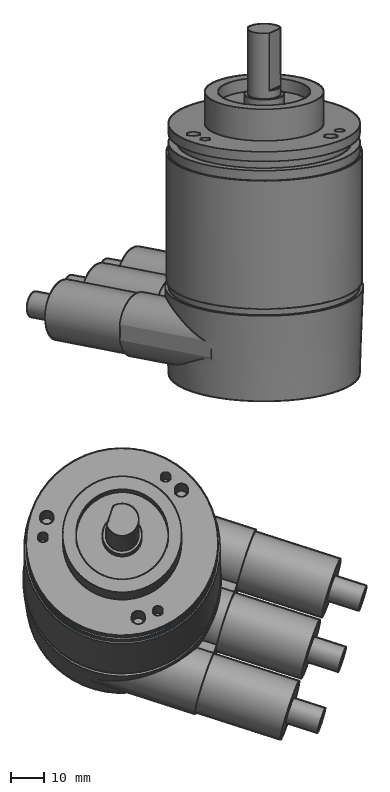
import cadquery as cq

base_top = 27.4
base_bottom_radius = 29.0
base_top_radius = 30.0
body_bottom = 29.4
body_top = 70.0
body_radius = 29.6
flange_radius = 29.0
groove_bottom = 73.0
groove_top = 76.0
groove_radius = 26.4
flange_top = 79.0
pilot_top = 89.0
pilot_radius = 18.0
recess_radius = 14.0
recess_floor = 85.0

shaft_top = 109.0
shaft_radius = 5.0
shaft_collar_radius = 6.0
shaft_collar_top = 88.3
flat_bottom = 90.8
flat_distance = 3.9

hole_circle_radius = 24.0
hole_depth = 10.0
large_hole_radius = 2.1
small_hole_radius = 1.5
large_hole_angles = (0, 120, 240)
small_hole_angles = (15, 135, 255)

outlet_pitch = 20.0
outlet_height = 15.0
outlet_radius = 9.9
outlet_end = -32.9
outlet_side_limit = 29.5
sleeve_radius = 9.4
sleeve_end = -60.0
cable_radius = 4.0
cable_end = -70.0
web_height = 9.8


def disc(radius, bottom, top):
    """Vertical cylinder on the Z axis."""
    return cq.Workplane("XY").workplane(offset=bottom).circle(radius).extrude(top - bottom)


def rod(radius, end, y):
    """Horizontal cylinder from the housing's mid-plane to x = end."""
    return cq.Workplane("YZ").center(y, outlet_height).circle(radius).extrude(end)


def make_housing():
    """Tapered base, body, grooved flange and pilot as one revolved profile."""
    profile = [
        (0, 0),
        (base_bottom_radius, 0),
        (base_top_radius, base_top),
        (flange_radius, base_top),
        (flange_radius, body_bottom),
        (body_radius, body_bottom),
        (body_radius, body_top),
        (flange_radius, body_top),
        (flange_radius, groove_bottom),
        (groove_radius, groove_bottom),
        (groove_radius, groove_top),
        (flange_radius, groove_top),
        (flange_radius, flange_top),
        (pilot_radius, flange_top),
        (pilot_radius, pilot_top),
        (recess_radius, pilot_top),
        (recess_radius, recess_floor),
        (0, recess_floor),
    ]
    return cq.Workplane("XZ").polyline(profile).close().revolve(360, (0, 0), (0, 1))


def make_shaft():
    """Collared shaft with a flat on its +X side."""
    shaft = disc(shaft_radius, recess_floor, shaft_top)
    flat_cutter = cq.Workplane("XY").box(
        shaft_radius, 2 * shaft_radius, shaft_top - flat_bottom, centered=(False, True, False)
    ).translate((flat_distance, 0, flat_bottom))
    collar = disc(shaft_collar_radius, recess_floor, shaft_collar_top)
    return shaft.cut(flat_cutter).union(collar)


def make_outlets():
    """Three cable outlets joined by a web, with flattened outer sides."""
    outlets = cq.Workplane("YZ").center(0, outlet_height).rect(2 * outlet_pitch, web_height).extrude(outlet_end)
    for y in (-outlet_pitch, 0, outlet_pitch):
        outlets = outlets.union(rod(outlet_radius, outlet_end, y))
        outlets = outlets.union(rod(sleeve_radius, sleeve_end, y))
        outlets = outlets.union(rod(cable_radius, cable_end, y))
    side_limits = cq.Workplane("XY").box(-2 * cable_end, 2 * outlet_side_limit, 2 * base_top)
    return outlets.intersect(side_limits)


def make_holes(radius, angles):
    """Blind holes sunk into the flange face at the given angles."""
    bottom = flange_top - hole_depth
    hole = disc(radius, bottom, flange_top).translate((hole_circle_radius, 0, 0))
    holes = cq.Workplane("XY")
    for angle in angles:
        holes = holes.union(hole.rotate((0, 0, 0), (0, 0, 1), angle))
    return holes


result = make_housing().union(make_shaft()).union(make_outlets())
result = result.cut(make_holes(large_hole_radius, large_hole_angles))
result = result.cut(make_holes(small_hole_radius, small_hole_angles))